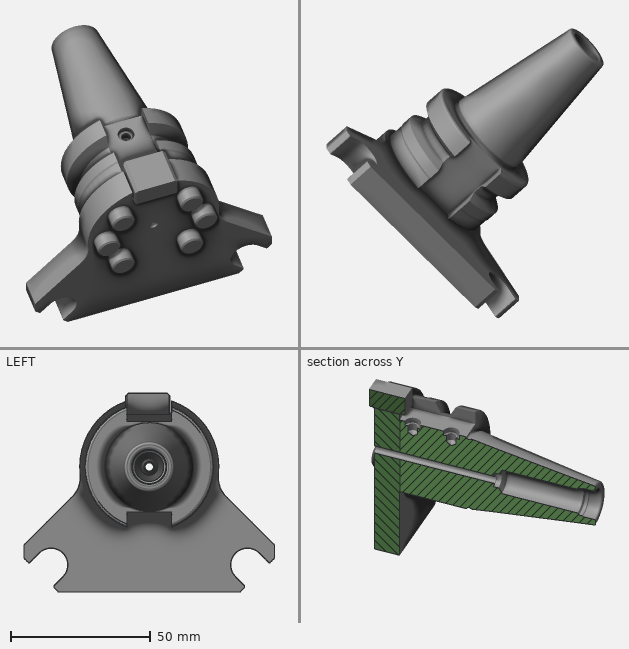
import cadquery as cq
import math

TOTAL_LENGTH = 91.4
SIN_45 = math.sqrt(0.5)

TAPER_LENGTH = 48.4
TAPER_RATE = 7 / 24
GAUGE_RADIUS = 15.9
SMALL_END_RADIUS = GAUGE_RADIUS - TAPER_LENGTH * TAPER_RATE / 2
SMALL_END_FILLET = 1.0
RELIEF_RADIUS = 15.45
RELIEF_START = 49.45
FLANGE_START = 50.4
RELIEF_FILLET = 0.7
FLANGE_RADIUS = 23.0
FLANGE_FILLET = 1.0
GROOVE_START = 57.95
GROOVE_END = 66.0
GROOVE_FLOOR_WIDTH = 3.3
GROOVE_FLOOR_RADIUS = 18.9
GROOVE_FLANK = (GROOVE_END - GROOVE_START - GROOVE_FLOOR_WIDTH) / 2
FLANGE_END = 70.1
COLLAR_STEP_LENGTH = 0.55
COLLAR_RADIUS = 22.8
COLLAR_CHAMFER = 0.5
HOLDER_END = 76.4

PILOT_RADIUS = 12.5 / 2
PILOT_MOUTH_FILLET = 0.69
PILOT_DEPTH = 5.0
PILOT_END_CHAMFER = 0.3
RECESS_RADIUS = 12.0 / 2
RECESS_DEPTH = 6.5
RECESS_END_CHAMFER = 0.55
BORE_RADIUS = 10.4 / 2
BORE_DEPTH = 36.6
DRILL_TIP_ANGLE = 118.0
COOLANT_HOLE_DIAMETER = 3.0

RECESS_HOLE_RADIUS = 6.0 / 2
STUB_TOP_RADIUS = 4.3 / 2
STUB_CHAMFER_DEPTH = 0.55
STUB_TOP_DEPTH = 1.55
AXIAL_STUB_TOP_RADIUS = 1.9
SOCKET_RADIUS = 3.5 / 2
SOCKET_DEPTH = 3.0
FIRST_RECESS_X = 56.4
RECESS_SPACING = 15.0

SLOT_WIDTH = 16.1
SLOT_FLOOR_HEIGHT = 16.3

PLATE_START = HOLDER_END
PLATE_THICKNESS = 10.0
PLATE_END = PLATE_START + PLATE_THICKNESS
HEAD_RADIUS = 50.0 / 2
PLATE_WIDTH = 90.0
HALF_WIDTH = PLATE_WIDTH / 2
PLATE_BOTTOM = -45.0
SHOULDER_HEIGHT = -28.1
WAIST_RADIUS = 10.0
WING_BOTTOM = -34.5
FOOT_HALF_WIDTH = 34.3
CORNER_CHAMFER = 1.7
HOOK_RADIUS = 12.0 / 2
HOOK_CENTRE_Y = 35.3
HOOK_CENTRE_Z = -35.2
NOTCH_FLOOR_HEIGHT = 19.4

KEY_LENGTH = 14.0
KEY_START = PLATE_START + PLATE_THICKNESS / 2 - KEY_LENGTH / 2
KEY_WIDTH = SLOT_WIDTH
KEY_OFFSET_Y = 0.5
KEY_TOP = 26.5
KEY_BOTTOM = 18.8
KEY_TOP_CHAMFER = 1.1
KEY_CORNER_CHAMFER = 0.5

SCREW_DIAMETER = 8.5
SCREW_CHAMFER = 0.55
SCREW_CIRCLE_RADIUS = 18.5
SCREW_ANGLES = [-45, 0, 45, 135, 180, 225]


def box(x_range, y_range, z_range):
    """Axis-aligned box given by its limits."""
    (x0, x1), (y0, y1), (z0, z1) = x_range, y_range, z_range
    return cq.Workplane("XY").box(x1 - x0, y1 - y0, z1 - z0, centered=False).translate((x0, y0, z0))


def cone_depth(radius):
    """Depth of a drill-point cone of the given radius."""
    return radius / math.tan(math.radians(DRILL_TIP_ANGLE / 2))


def make_holder_blank():
    """Taper, relief groove, V-grooved flange and rear collar as one turned shape."""
    relief_end = FLANGE_START - RELIEF_FILLET
    fillet_sag = 1 - SIN_45
    taper_and_flange = (
        cq.Workplane("XY")
        .moveTo(0, 0)
        .lineTo(0, SMALL_END_RADIUS)
        .lineTo(TAPER_LENGTH, GAUGE_RADIUS)
        .lineTo(RELIEF_START, RELIEF_RADIUS)
        .lineTo(relief_end, RELIEF_RADIUS)
        .threePointArc(
            (relief_end + RELIEF_FILLET * SIN_45, RELIEF_RADIUS + RELIEF_FILLET * fillet_sag),
            (FLANGE_START, RELIEF_RADIUS + RELIEF_FILLET),
        )
        .lineTo(FLANGE_START, FLANGE_RADIUS - FLANGE_FILLET)
        .threePointArc(
            (FLANGE_START + FLANGE_FILLET * fillet_sag, FLANGE_RADIUS - FLANGE_FILLET * fillet_sag),
            (FLANGE_START + FLANGE_FILLET, FLANGE_RADIUS),
        )
        .lineTo(GROOVE_START, FLANGE_RADIUS)
        .lineTo(GROOVE_START + GROOVE_FLANK, GROOVE_FLOOR_RADIUS)
        .lineTo(GROOVE_END - GROOVE_FLANK, GROOVE_FLOOR_RADIUS)
        .lineTo(GROOVE_END, FLANGE_RADIUS)
        .lineTo(FLANGE_END, FLANGE_RADIUS)
        .lineTo(FLANGE_END + COLLAR_STEP_LENGTH, COLLAR_RADIUS)
        .lineTo(HOLDER_END - COLLAR_CHAMFER, COLLAR_RADIUS)
        .lineTo(HOLDER_END, COLLAR_RADIUS - COLLAR_CHAMFER)
        .lineTo(HOLDER_END, 0)
        .close()
        .revolve(360, (0, 0, 0), (1, 0, 0))
    )
    return taper_and_flange.faces("<X").edges().fillet(SMALL_END_FILLET)


def make_bore():
    """Stepped bore with a rounded mouth, ending in a drill point around the axial stub."""
    cone_end = BORE_DEPTH + cone_depth(BORE_RADIUS) - cone_depth(RECESS_HOLE_RADIUS)
    mouth_sag = PILOT_MOUTH_FILLET * (1 - SIN_45)
    recess_start = PILOT_DEPTH + PILOT_END_CHAMFER
    recess_end = RECESS_DEPTH + RECESS_END_CHAMFER
    return (
        cq.Workplane("XY")
        .moveTo(0, 0)
        .lineTo(0, PILOT_RADIUS + PILOT_MOUTH_FILLET)
        .threePointArc((mouth_sag, PILOT_RADIUS + mouth_sag), (PILOT_MOUTH_FILLET, PILOT_RADIUS))
        .lineTo(PILOT_DEPTH, PILOT_RADIUS)
        .lineTo(recess_start, RECESS_RADIUS)
        .lineTo(RECESS_DEPTH, RECESS_RADIUS)
        .lineTo(recess_end, BORE_RADIUS)
        .lineTo(BORE_DEPTH, BORE_RADIUS)
        .lineTo(cone_end, RECESS_HOLE_RADIUS)
        .lineTo(cone_end + STUB_TOP_DEPTH + STUB_CHAMFER_DEPTH, RECESS_HOLE_RADIUS)
        .lineTo(cone_end + STUB_TOP_DEPTH, AXIAL_STUB_TOP_RADIUS)
        .lineTo(cone_end + STUB_TOP_DEPTH, 0)
        .close()
        .revolve(360, (0, 0, 0), (1, 0, 0))
    )


def make_ringed_recess(x):
    """Recess in the slot floor with a chamfered stub and a drilled socket in the stub."""
    stub_top = SLOT_FLOOR_HEIGHT - STUB_TOP_DEPTH
    socket_end = stub_top - SOCKET_DEPTH
    return (
        cq.Workplane("XZ")
        .moveTo(0, SLOT_FLOOR_HEIGHT)
        .lineTo(RECESS_HOLE_RADIUS, SLOT_FLOOR_HEIGHT)
        .lineTo(RECESS_HOLE_RADIUS, stub_top - STUB_CHAMFER_DEPTH)
        .lineTo(STUB_TOP_RADIUS, stub_top)
        .lineTo(SOCKET_RADIUS, stub_top)
        .lineTo(SOCKET_RADIUS, socket_end)
        .lineTo(0, socket_end - cone_depth(SOCKET_RADIUS))
        .close()
        .revolve(360, (0, 0, 0), (0, 1, 0))
        .translate((x, 0, 0))
    )


def make_coolant_hole():
    """Small hole along the whole axis."""
    return cq.Workplane("YZ").circle(COOLANT_HOLE_DIAMETER / 2).extrude(TOTAL_LENGTH)


def make_holder():
    """Tapered holder with drive slots, axial bore and recesses, and room for the key."""
    holder = make_holder_blank().cut(make_bore()).cut(make_coolant_hole())
    slot_sides = (-SLOT_WIDTH / 2, SLOT_WIDTH / 2)
    for heights in [(SLOT_FLOOR_HEIGHT, FLANGE_RADIUS), (-FLANGE_RADIUS, -SLOT_FLOOR_HEIGHT)]:
        holder = holder.cut(box((FLANGE_START, HOLDER_END), slot_sides, heights))
    for x in [FIRST_RECESS_X, FIRST_RECESS_X + RECESS_SPACING]:
        holder = holder.cut(make_ringed_recess(x))
    return holder.cut(make_key())


def make_plate_half():
    """The +Y half of the foot plate, with a round head, a sloping wing and an open hook."""
    wing_sum = HALF_WIDTH + SHOULDER_HEIGHT
    waist_sum = wing_sum + WAIST_RADIUS / SIN_45
    waist_distance = HEAD_RADIUS + WAIST_RADIUS
    waist_difference = math.sqrt(2 * waist_distance**2 - waist_sum**2)
    waist_y = (waist_sum + waist_difference) / 2
    waist_z = (waist_sum - waist_difference) / 2
    head_angle = math.atan2(waist_z, waist_y)
    waist_angle = (head_angle + math.pi + math.radians(225)) / 2

    head_end = (HEAD_RADIUS * math.cos(head_angle), HEAD_RADIUS * math.sin(head_angle))
    waist_middle = (
        waist_y + WAIST_RADIUS * math.cos(waist_angle),
        waist_z + WAIST_RADIUS * math.sin(waist_angle),
    )
    waist_end = (waist_y - WAIST_RADIUS * SIN_45, waist_z - WAIST_RADIUS * SIN_45)

    hook_reach = HOOK_RADIUS * SIN_45
    hook_sum = HOOK_CENTRE_Y + HOOK_CENTRE_Z
    upper_side_sum = hook_sum + 2 * hook_reach
    lower_side_sum = hook_sum - 2 * hook_reach

    return (
        cq.Workplane("YZ", origin=(PLATE_START, 0, 0))
        .moveTo(0, HEAD_RADIUS)
        .threePointArc((HEAD_RADIUS * SIN_45, HEAD_RADIUS * SIN_45), head_end)
        .threePointArc(waist_middle, waist_end)
        .lineTo(HALF_WIDTH, SHOULDER_HEIGHT)
        .lineTo(HALF_WIDTH, WING_BOTTOM + CORNER_CHAMFER)
        .lineTo(HALF_WIDTH - CORNER_CHAMFER, WING_BOTTOM)
        .lineTo(upper_side_sum - WING_BOTTOM, WING_BOTTOM)
        .lineTo(HOOK_CENTRE_Y + hook_reach, HOOK_CENTRE_Z + hook_reach)
        .threePointArc(
            (HOOK_CENTRE_Y - hook_reach, HOOK_CENTRE_Z + hook_reach),
            (HOOK_CENTRE_Y - hook_reach, HOOK_CENTRE_Z - hook_reach),
        )
        .lineTo(FOOT_HALF_WIDTH, lower_side_sum - FOOT_HALF_WIDTH)
        .lineTo(FOOT_HALF_WIDTH, PLATE_BOTTOM + CORNER_CHAMFER)
        .lineTo(FOOT_HALF_WIDTH - CORNER_CHAMFER, PLATE_BOTTOM)
        .lineTo(0, PLATE_BOTTOM)
        .close()
        .extrude(PLATE_THICKNESS)
    )


def make_plate():
    """Foot plate with a notch at the top of its head that takes the key."""
    half = make_plate_half()
    notch = box(
        (PLATE_START, PLATE_END),
        (-SLOT_WIDTH / 2, SLOT_WIDTH / 2),
        (NOTCH_FLOOR_HEIGHT, HEAD_RADIUS),
    )
    plate = half.union(half.mirror("XZ"))
    return plate.cut(notch).cut(make_coolant_hole()).cut(make_key())


def make_key():
    """Block across the top of the plate, chamfered along its upper sides and corners."""
    key = box(
        (KEY_START, KEY_START + KEY_LENGTH),
        (KEY_OFFSET_Y - KEY_WIDTH / 2, KEY_OFFSET_Y + KEY_WIDTH / 2),
        (KEY_BOTTOM, KEY_TOP),
    )
    key = key.edges("|Z").chamfer(KEY_CORNER_CHAMFER)
    for side in [-1, 1]:
        edge_y = KEY_OFFSET_Y + side * KEY_WIDTH / 2
        corner = (
            cq.Workplane("YZ", origin=(KEY_START, 0, 0))
            .moveTo(edge_y, KEY_TOP)
            .lineTo(edge_y - side * KEY_TOP_CHAMFER, KEY_TOP)
            .lineTo(edge_y, KEY_TOP - KEY_TOP_CHAMFER)
            .close()
            .extrude(KEY_LENGTH)
        )
        key = key.cut(corner)
    return key


def make_screw_head(angle):
    """Chamfered screw head on the rear face of the plate."""
    y = SCREW_CIRCLE_RADIUS * math.cos(math.radians(angle))
    z = SCREW_CIRCLE_RADIUS * math.sin(math.radians(angle))
    head = cq.Workplane("YZ").circle(SCREW_DIAMETER / 2).extrude(TOTAL_LENGTH - PLATE_END)
    return head.faces(">X").edges().chamfer(SCREW_CHAMFER).translate((PLATE_END, y, z))


holder = make_holder()
plate = make_plate()
key = make_key()
screw_heads = [make_screw_head(angle) for angle in SCREW_ANGLES]

result = cq.Compound.makeCompound(
    [
        holder.solids().val(),
        plate.solids().val(),
        key.solids().val(),
        *[head.solids().val() for head in screw_heads],
    ]
)